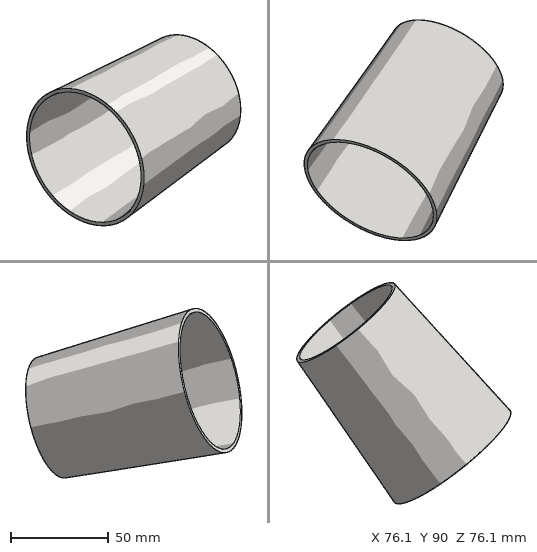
import cadquery as cq

length = 90.0
wide_diameter = 76.1
narrow_diameter = 64.0
wall = 2.0

wide_radius = wide_diameter / 2
narrow_radius = narrow_diameter / 2
wide_end = -length / 2
narrow_end = length / 2

wall_section = (
    cq.Workplane("XY")
    .moveTo(wide_radius - wall, wide_end)
    .lineTo(wide_radius, wide_end)
    .lineTo(narrow_radius, narrow_end)
    .lineTo(narrow_radius - wall, narrow_end)
    .close()
)

result = wall_section.revolve(360, (0, 0, 0), (0, 1, 0))